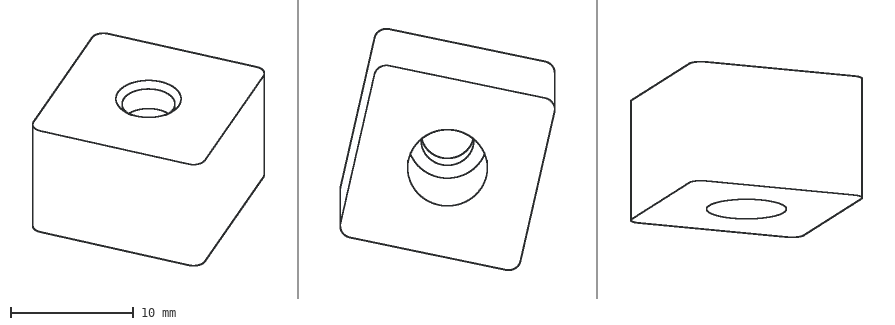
import cadquery as cq

side = 15.0
height = side * 2 / 3
corner_radius = 1.0

hole_diameter = 4.3
countersink_diameter = 5.31
countersink_depth = (countersink_diameter - hole_diameter) / 2
bore_diameter = 6.5
bore_depth = 7.56


def make_block():
    block = cq.Workplane("XY").box(side, side, height, centered=(True, True, False))
    return block.edges("|Z").fillet(corner_radius)


def make_hole():
    """Axial section of the stepped hole, revolved about Z."""
    hole_radius = hole_diameter / 2
    bore_radius = bore_diameter / 2
    return (
        cq.Workplane("XZ")
        .moveTo(0, 0)
        .lineTo(bore_radius, 0)
        .lineTo(bore_radius, bore_depth)
        .lineTo(hole_radius, bore_depth)
        .lineTo(hole_radius, height - countersink_depth)
        .lineTo(countersink_diameter / 2, height)
        .lineTo(0, height)
        .close()
        .revolve(360, (0, 0, 0), (0, 1, 0))
    )


result = make_block().cut(make_hole())